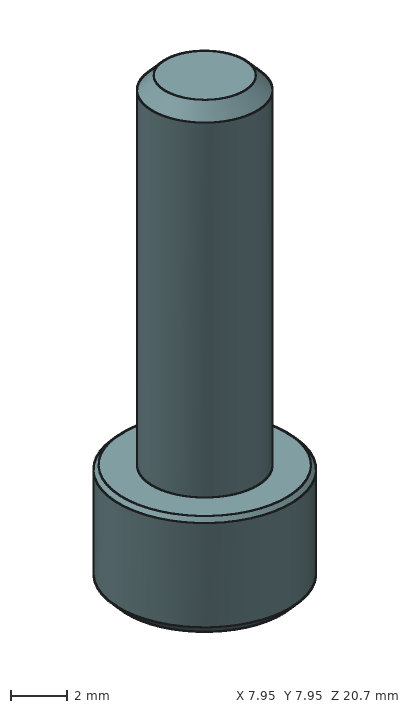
import cadquery as cq

total_length = 20.7
head_diameter = 7.95
head_height = 4.85
shank_diameter = 4.85
tip_chamfer = 0.6
head_outer_chamfer = 0.41
head_shoulder_chamfer = 0.19


def make_head():
    """Cylindrical head standing on Z = 0, chamfered on both rims."""
    head = cq.Workplane("XY").circle(head_diameter / 2).extrude(head_height)
    head = head.faces("<Z").chamfer(head_outer_chamfer)
    return head.faces(">Z").chamfer(head_shoulder_chamfer)


def make_shank():
    """Plain shank rising from the head, with a chamfered tip."""
    shank = (
        cq.Workplane("XY")
        .workplane(offset=head_height)
        .circle(shank_diameter / 2)
        .extrude(total_length - head_height)
    )
    return shank.faces(">Z").chamfer(tip_chamfer)


result = make_head().union(make_shank())